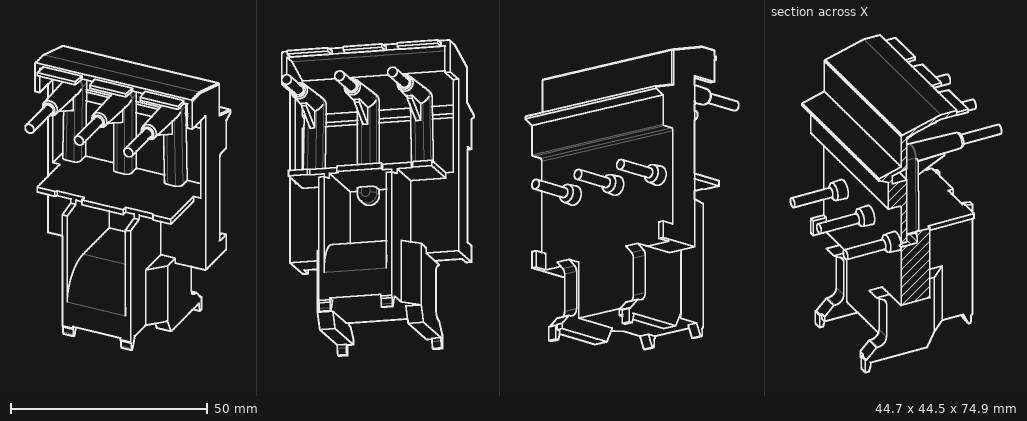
import cadquery as cq
import math

TOTAL_DEPTH = 44.5
WALL = 1.4

FRAME_WIDTH = 44.65
FRAME_BOTTOM = 21.35
FRAME_TOP = 74.9
FRAME_FRONT = -0.8
FRAME_BACK = 7.6
HOOD_FRONT = -8.5
HOOD_UNDERSIDE = 66.4
HOOD_RIDGE = -3.8
HOOD_BACK_TOP = 71.9
RAIL_BACK = 11.3
RAIL_TOP = 58.95
RAIL_BOTTOM = 50.9
LIP_ROOT = 62.6
LIP_BACK = 13.9
LIP_TOP = 60.8
LIP_BOTTOM = 60.15
HOOD_CHAMFER = 0.3
RAIL_CORNER_RADIUS = 0.6
RAIL_EDGE_RADIUS = 0.3
FOOT_TOP = 25.7

RECESS_WIDTH = FRAME_WIDTH - 2 * WALL
RECESS_BACK = 5.9
RECESS_CEILING = FRAME_TOP - 1.5
RECESS_BACK_TOP = 70.7
NICHE_ROOT = 61.6
NICHE_BACK = 10.0
NICHE_TOP = 60.45
NICHE_FLOOR = 58.3

PLATE_TOP = 42.1
PLATE_THICKNESS = 1.4
PLATE_UNDERSIDE = PLATE_TOP - PLATE_THICKNESS
PLATE_WIDTH = 37.9
PLATE_SIDE_FRONT = -14.0
PLATE_NOTCH_FRONT = -13.5
PLATE_TONGUE_FRONT = -14.9
PLATE_TONGUE_WIDTH = 11.7
PLATE_NOTCH_WIDTH = 27.0
PLATE_NOTCH_SLANT = 0.45

TAB_TOP = 74.2
TAB_THICKNESS = 0.9
TAB_FRONT = -11.8
TAB_TAPER = 0.3
CENTRE_TAB_WIDTH = 10.5
SIDE_TAB_INNER = 8.9
SIDE_TAB_OUTER = 19.9

BASE_WIDTH = 19.3
BASE_FRONT = -18.4
BASE_BOTTOM = 6.6
CHANNEL_WIDTH = BASE_WIDTH - 2 * WALL
CHEEK_STEP = -13.5
CHEEK_STEP_HEIGHT = 39.5
CHEEK_FRONT_HEIGHT = 38.6
BLOCK_TOP = 22.8
BLOCK_RADIUS = 9.3
FRONT_HOOK_WIDTH = 2.9
FRONT_HOOK_BACK = -15.8
FRONT_HOOK_TIP_BACK = -17.3
FRONT_HOOK_TIP_FRONT = -17.8
FRONT_HOOK_TIP = 3.45
FRONT_HOOK_FACE = -18.05
FRONT_HOOK_FACE_BOTTOM = 4.2
FRONT_HOOK_FACE_TOP = 5.6
FRONT_HOOK_SHOULDER = 6.15
LEG_SPAN = 27.5
LEG_WIDTH = (LEG_SPAN - BASE_WIDTH) / 2
LEG_BACK = 8.5
LEG_NECK_TOP = 19.7
LEG_NECK_TOP_RADIUS = 1.5
LEG_NECK_BOTTOM_RADIUS = 2.4
LEG_HEEL_BACK = 13.9
LEG_TOE = -3.2
LEG_BOTTOM = 2.55
LEG_FRONT_INNER = -9.65
LEG_FRONT_OUTER = -5.3
REAR_HOOK_BACK = 14.5
REAR_HOOK_TOP = 3.7
REAR_HOOK_FRONT = 12.95
REAR_HOOK_BEND = 1.7
REAR_HOOK_TIP_FRONT = 13.5
REAR_HOOK_WIDTH = 2.4

CONDUCTOR_COUNT = 3
CENTRE_X = -3.1
FRONT_PITCH = 14.0
REAR_PITCH = 14.45
FRONT_AXIS_Z = 63.8
REAR_AXIS_Z = 39.25
BAR_WIDTH = 5.0
BAR_FRONT = 1.9
BAR_EDGE_RADIUS = 1.4
PIN_RADIUS = 1.3
SHOULDER_RADIUS = 1.7
FRONT_SLEEVE_END = -10.4
FRONT_SLEEVE_END_RADIUS = 2.1
FRONT_SHOULDER_LENGTH = 0.7
REAR_SLEEVE_END = 10.4
REAR_SLEEVE_END_RADIUS = 2.3
REAR_SHOULDER_LENGTH = 0.9
GUSSET_WIDTH = 1.3
GUSSET_FRONT = -6.15
GUSSET_FRONT_Z = 60.9
GUSSET_ROOT_Z = 57.1


def box(x_range, y_range, z_range):
    """Box between the given limits along each axis."""
    (x0, x1), (y0, y1), (z0, z1) = x_range, y_range, z_range
    return cq.Workplane("XY").box(x1 - x0, y1 - y0, z1 - z0, centered=False).translate((x0, y0, z0))


def side_profile(points, width, centre_x=0.0):
    """Prism across X from an outline of (Y, Z) points."""
    prism = cq.Workplane("YZ").polyline(points).close().extrude(width / 2, both=True)
    return prism.translate((centre_x, 0, 0))


def flat_profile(points, bottom, top):
    """Prism along Z from an outline of (X, Y) points."""
    return cq.Workplane("XY", origin=(0, 0, bottom)).polyline(points).close().extrude(top - bottom)


def edge_near(body, x, y, z):
    """The edge of a body whose middle lies nearest to the given point."""
    return body.edges(cq.selectors.NearestToPointSelector((x, y, z)))


def make_frame():
    """Frame with its sloped hood, the rear rail with a lip, and two feet."""
    hood_line = [
        (HOOD_FRONT, FRAME_TOP),
        (HOOD_RIDGE, FRAME_TOP),
        (FRAME_BACK - HOOD_CHAMFER, HOOD_BACK_TOP),
        (FRAME_BACK, HOOD_BACK_TOP - HOOD_CHAMFER),
        (FRAME_BACK, LIP_ROOT),
        (LIP_BACK, LIP_TOP),
    ]
    outline = hood_line + [
        (LIP_BACK, LIP_BOTTOM),
        (RAIL_BACK, RAIL_TOP),
        (RAIL_BACK, RAIL_BOTTOM),
        (FRAME_BACK, RAIL_BOTTOM),
        (FRAME_BACK, FRAME_BOTTOM),
        (FRAME_FRONT, FRAME_BOTTOM),
        (FRAME_FRONT, HOOD_UNDERSIDE),
        (HOOD_FRONT, HOOD_UNDERSIDE),
    ]
    frame = side_profile(outline, FRAME_WIDTH)

    middles = [((y0 + y1) / 2, (z0 + z1) / 2) for (y0, z0), (y1, z1) in zip(hood_line, hood_line[1:])]
    end_edges = []
    for side in (-1, 1):
        for y, z in middles:
            end_edges += edge_near(frame, side * FRAME_WIDTH / 2, y, z).vals()
    frame = frame.newObject(end_edges).chamfer(HOOD_CHAMFER)

    frame = edge_near(frame, 0, FRAME_BACK, RAIL_BOTTOM).fillet(RAIL_CORNER_RADIUS)
    frame = edge_near(frame, 0, RAIL_BACK, RAIL_BOTTOM).fillet(RAIL_EDGE_RADIUS)

    for side in (-1, 1):
        outer = side * FRAME_WIDTH / 2
        inner = side * RECESS_WIDTH / 2
        foot = box(sorted((outer, inner)), (FRAME_FRONT, RAIL_BACK), (FRAME_BOTTOM, FOOT_TOP))
        frame = frame.union(foot)
    return frame.cut(make_recess())


def make_recess():
    """Cavity in the frame; its roof runs parallel to the hood and widens into a niche at the rail."""
    outline = [
        (HOOD_FRONT, PLATE_TOP),
        (HOOD_FRONT, RECESS_CEILING),
        (HOOD_RIDGE, RECESS_CEILING),
        (RECESS_BACK, RECESS_BACK_TOP),
        (RECESS_BACK, NICHE_ROOT),
        (NICHE_BACK, NICHE_TOP),
        (NICHE_BACK, NICHE_FLOOR),
        (RECESS_BACK, NICHE_FLOOR),
        (RECESS_BACK, PLATE_TOP),
    ]
    return side_profile(outline, RECESS_WIDTH)


def make_floor_plate():
    """Thin plate with a central tongue and a shallow notch on each side of it."""
    half_tongue = PLATE_TONGUE_WIDTH / 2
    half_notch = PLATE_NOTCH_WIDTH / 2
    right_half = [
        (half_tongue, PLATE_TONGUE_FRONT),
        (half_tongue, PLATE_NOTCH_FRONT),
        (half_notch, PLATE_NOTCH_FRONT),
        (half_notch + PLATE_NOTCH_SLANT, PLATE_SIDE_FRONT),
        (PLATE_WIDTH / 2, PLATE_SIDE_FRONT),
        (PLATE_WIDTH / 2, RECESS_BACK),
    ]
    left_half = [(-x, y) for x, y in reversed(right_half)]
    return flat_profile(right_half + left_half, PLATE_UNDERSIDE, PLATE_TOP)


def make_tabs():
    """Three tabs that narrow towards the front."""
    half = CENTRE_TAB_WIDTH / 2
    tabs = [[
        (-half - TAB_TAPER / 2, HOOD_FRONT),
        (-half + TAB_TAPER / 2, TAB_FRONT),
        (half - TAB_TAPER / 2, TAB_FRONT),
        (half + TAB_TAPER / 2, HOOD_FRONT),
    ]]
    for side in (-1, 1):
        tabs.append([
            (side * SIDE_TAB_INNER, HOOD_FRONT),
            (side * (SIDE_TAB_INNER + TAB_TAPER), TAB_FRONT),
            (side * SIDE_TAB_OUTER, TAB_FRONT),
            (side * SIDE_TAB_OUTER, HOOD_FRONT),
        ])
    solids = cq.Workplane("XY")
    for outline in tabs:
        solids = solids.union(flat_profile(outline, TAB_TOP - TAB_THICKNESS, TAB_TOP))
    return solids


def make_base():
    """Base between the legs, before its channel is cut."""
    outline = [
        (FRAME_BACK, BASE_BOTTOM),
        (BASE_FRONT, BASE_BOTTOM),
        (BASE_FRONT, CHEEK_FRONT_HEIGHT),
        (CHEEK_STEP, CHEEK_STEP_HEIGHT),
        (CHEEK_STEP, PLATE_UNDERSIDE),
        (FRAME_BACK, PLATE_UNDERSIDE),
    ]
    return side_profile(outline, BASE_WIDTH)


def make_channel():
    """Space between the cheeks, above the rounded block."""
    arc_start = (BASE_FRONT, BLOCK_TOP - BLOCK_RADIUS)
    arc_end = (BASE_FRONT + BLOCK_RADIUS, BLOCK_TOP)
    diagonal = BLOCK_RADIUS * math.sqrt(0.5)
    arc_middle = (arc_end[0] - diagonal, arc_start[1] + diagonal)
    return (
        cq.Workplane("YZ")
        .moveTo(*arc_start)
        .threePointArc(arc_middle, arc_end)
        .lineTo(RECESS_BACK, BLOCK_TOP)
        .lineTo(RECESS_BACK, PLATE_UNDERSIDE)
        .lineTo(BASE_FRONT, PLATE_UNDERSIDE)
        .close()
        .extrude(CHANNEL_WIDTH / 2, both=True)
    )


def make_front_hook(side):
    """Small hook under the front edge of a cheek."""
    outline = [
        (FRONT_HOOK_BACK, BASE_BOTTOM),
        (FRONT_HOOK_TIP_BACK, FRONT_HOOK_TIP),
        (FRONT_HOOK_TIP_FRONT, FRONT_HOOK_TIP),
        (FRONT_HOOK_FACE, FRONT_HOOK_FACE_BOTTOM),
        (FRONT_HOOK_FACE, FRONT_HOOK_FACE_TOP),
        (BASE_FRONT, FRONT_HOOK_SHOULDER),
        (BASE_FRONT, BASE_BOTTOM),
    ]
    return side_profile(outline, FRONT_HOOK_WIDTH, side * (BASE_WIDTH - FRONT_HOOK_WIDTH) / 2)


def make_leg(side):
    """Leg beside the base, with a slanted front corner and a hook at the rear."""
    heel_top = BASE_BOTTOM - (LEG_HEEL_BACK - RAIL_BACK)
    outline = [
        (LEG_FRONT_INNER, BLOCK_TOP),
        (FRAME_BACK, BLOCK_TOP),
        (FRAME_BACK, FRAME_BOTTOM),
        (RAIL_BACK, FRAME_BOTTOM),
        (LEG_BACK, LEG_NECK_TOP),
        (LEG_BACK, BASE_BOTTOM),
        (RAIL_BACK, BASE_BOTTOM),
        (LEG_HEEL_BACK, heel_top),
        (LEG_HEEL_BACK, LEG_BOTTOM),
        (LEG_TOE, LEG_BOTTOM),
        (LEG_FRONT_OUTER, BASE_BOTTOM),
        (LEG_FRONT_INNER, BASE_BOTTOM),
    ]
    inner = side * BASE_WIDTH / 2
    outer = side * LEG_SPAN / 2
    middle = (inner + outer) / 2
    leg = side_profile(outline, LEG_WIDTH, middle)
    leg = edge_near(leg, middle, LEG_BACK, LEG_NECK_TOP).fillet(LEG_NECK_TOP_RADIUS)
    leg = edge_near(leg, middle, LEG_BACK, BASE_BOTTOM).fillet(LEG_NECK_BOTTOM_RADIUS)
    front_corner = flat_profile(
        [(inner, LEG_FRONT_INNER), (outer, LEG_FRONT_INNER), (outer, LEG_FRONT_OUTER)],
        BASE_BOTTOM,
        BLOCK_TOP,
    )
    hook_outline = [
        (REAR_HOOK_FRONT, heel_top),
        (LEG_HEEL_BACK, heel_top),
        (RAIL_BACK + BASE_BOTTOM - REAR_HOOK_TOP, REAR_HOOK_TOP),
        (REAR_HOOK_BACK, REAR_HOOK_TOP),
        (REAR_HOOK_BACK, 0),
        (REAR_HOOK_TIP_FRONT, 0),
        (REAR_HOOK_FRONT, REAR_HOOK_BEND),
    ]
    hook = side_profile(hook_outline, REAR_HOOK_WIDTH, outer - side * REAR_HOOK_WIDTH / 2)
    return leg.cut(front_corner).union(hook)


def make_sleeve_and_pin(stations, x, z):
    """Turned piece along Y, given as (radius, y) stations from its root to the pin's tip."""
    root_y = stations[0][1]
    tip_y = stations[-1][1]
    outline = [(0, root_y)] + stations + [(0, tip_y)]
    turned = cq.Workplane("XY").polyline(outline).close().revolve(360, (0, 0, 0), (0, 1, 0))
    return turned.translate((x, 0, z))


def make_conductor(index):
    """Conductor: front pin, leaning bar in the recess, and rear pin."""
    step = index - (CONDUCTOR_COUNT - 1) / 2
    front_x = CENTRE_X + step * FRONT_PITCH
    rear_x = CENTRE_X + step * REAR_PITCH
    drop = FRONT_AXIS_Z - REAR_AXIS_Z
    lean = math.degrees(math.atan2(front_x - rear_x, drop))

    bar = (
        cq.Workplane("XZ", origin=(0, RECESS_BACK, 0))
        .slot2D(math.hypot(drop, front_x - rear_x) + BAR_WIDTH, BAR_WIDTH, 90)
        .extrude(RECESS_BACK - BAR_FRONT)
        .faces("<Y")
        .edges()
        .fillet(BAR_EDGE_RADIUS)
        .rotate((0, 0, 0), (0, 1, 0), lean)
        .translate(((front_x + rear_x) / 2, 0, (FRONT_AXIS_Z + REAR_AXIS_Z) / 2))
    )

    bar_middle = (BAR_FRONT + RECESS_BACK) / 2
    front_shoulder_end = FRONT_SLEEVE_END - FRONT_SHOULDER_LENGTH
    front_pin = make_sleeve_and_pin(
        [
            (BAR_WIDTH / 2, bar_middle),
            (FRONT_SLEEVE_END_RADIUS, FRONT_SLEEVE_END),
            (SHOULDER_RADIUS, front_shoulder_end),
            (PIN_RADIUS, front_shoulder_end),
            (PIN_RADIUS, -TOTAL_DEPTH / 2),
        ],
        front_x,
        FRONT_AXIS_Z,
    )
    rear_shoulder_end = REAR_SLEEVE_END + REAR_SHOULDER_LENGTH
    rear_pin = make_sleeve_and_pin(
        [
            (BAR_WIDTH / 2, bar_middle),
            (BAR_WIDTH / 2, FRAME_BACK),
            (REAR_SLEEVE_END_RADIUS, REAR_SLEEVE_END),
            (PIN_RADIUS, rear_shoulder_end),
            (PIN_RADIUS, TOTAL_DEPTH / 2),
        ],
        rear_x,
        REAR_AXIS_Z,
    )
    gusset = side_profile(
        [
            (bar_middle, FRONT_AXIS_Z),
            (GUSSET_FRONT, FRONT_AXIS_Z),
            (GUSSET_FRONT, GUSSET_FRONT_Z),
            (BAR_FRONT, GUSSET_ROOT_Z),
            (bar_middle, GUSSET_ROOT_Z),
        ],
        GUSSET_WIDTH,
        front_x,
    )
    return bar.union(front_pin).union(rear_pin).union(gusset)


conductors = [make_conductor(index) for index in range(CONDUCTOR_COUNT)]

housing = make_frame().union(make_base()).cut(make_channel())
housing = housing.union(make_floor_plate()).union(make_tabs())
for side in (-1, 1):
    housing = housing.union(make_leg(side)).union(make_front_hook(side))
for conductor in conductors:
    housing = housing.cut(conductor)

result = cq.Compound.makeCompound([housing.val(), *[conductor.val() for conductor in conductors]])